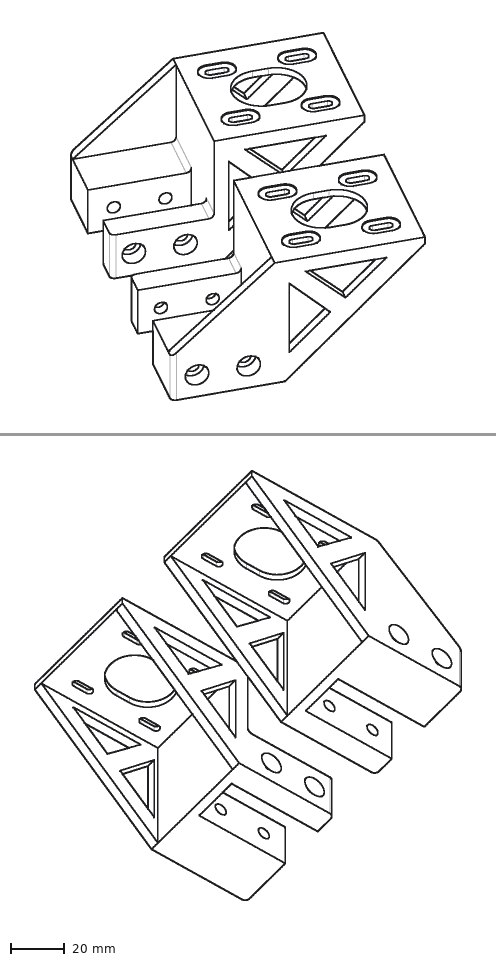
import cadquery as cq

body_width = 54.2
body_depth = 98.2
body_height = 55.25
overall_width = 134.2

wall = 4.0
plate_thickness = 3.0
front_wall_y = 40.0
cavity_front_y = front_wall_y + wall
slope_start_height = body_height - plate_thickness

block_height = 20.0
channel_width = 20.0
inner_block_width = 10.0
outer_block_width = body_width - channel_width - inner_block_width
inner_block_x = body_width - inner_block_width
edge_radius = 2.0

motor_x = body_width / 2
motor_y = (front_wall_y + body_depth) / 2
adjustment = 6.0
pilot_diameter = 22.5
screw_spacing = 31.0
screw_slot_width = 3.0
head_slot_width = 8.5
head_recess_depth = 0.5

bolt_z = 10.0
outer_bolt_y_positions = (10.0, 30.0)
inner_bolt_shift = -1.0
bolt_diameter = 5.0
bolt_head_diameter = 9.0
bolt_head_depth = 6.0

upper_window = [(83.3, 48.9), (52.0, 48.9), (67.4, 33.7)]
lower_window = [(45.7, 44.6), (61.5, 28.3), (45.7, 13.1)]


def extrude_across(points, x_start, width):
    """Prism with a (y, z) outline, running along +X from x_start."""
    return cq.Workplane("YZ", origin=(x_start, 0, 0)).polyline(points).close().extrude(width)


def cylinder_across(y, diameter, x_start, length):
    """Cylinder at bolt height, running along +X from x_start."""
    return cq.Workplane("YZ", origin=(x_start, 0, 0)).center(y, bolt_z).circle(diameter / 2).extrude(length)


def housing_shell():
    """Hollow motor housing with a sloping open underside."""
    outline = [
        (front_wall_y, 0),
        (cavity_front_y, 0),
        (body_depth, slope_start_height),
        (body_depth, body_height),
        (front_wall_y, body_height),
    ]
    cavity = cq.Workplane("XY").box(
        body_width - 2 * wall,
        body_depth,
        slope_start_height,
        centered=False,
    ).translate((wall, cavity_front_y, 0))
    return extrude_across(outline, 0, body_width).cut(cavity)


def clamp_block(x_start, width):
    """Block in front of the housing, with a concave fillet up to the front wall."""
    fillet_start = front_wall_y - edge_radius
    fillet_top = block_height + edge_radius
    return (
        cq.Workplane("YZ", origin=(x_start, 0, 0))
        .moveTo(0, 0)
        .lineTo(0, block_height)
        .lineTo(fillet_start, block_height)
        .radiusArc((front_wall_y, fillet_top), -edge_radius)
        .lineTo(front_wall_y, 0)
        .close()
        .extrude(width)
    )


def side_gusset():
    """Sloping wall that carries the outer side down to the front of its block."""
    outline = [
        (0, 0),
        (0, block_height),
        (front_wall_y, body_height),
        (front_wall_y, 0),
    ]
    return extrude_across(outline, 0, wall)


def slots(width, z_bottom, height):
    """Four adjustment slots on the motor screw pattern."""
    return (
        cq.Workplane("XY", origin=(motor_x, motor_y, z_bottom))
        .rect(screw_spacing, screw_spacing, forConstruction=True)
        .vertices()
        .slot2D(width + adjustment, width, 90)
        .extrude(height)
    )


def motor_openings():
    """Pilot opening, screw slots and shallow screw head recesses."""
    pilot = (
        cq.Workplane("XY", origin=(motor_x, motor_y, slope_start_height))
        .slot2D(pilot_diameter + adjustment, pilot_diameter, 90)
        .extrude(plate_thickness)
    )
    screw_slots = slots(screw_slot_width, slope_start_height, plate_thickness)
    head_recesses = slots(head_slot_width, body_height - head_recess_depth, head_recess_depth)
    return pilot.union(screw_slots).union(head_recesses)


def bracket():
    """Bracket with its gusset on the -X side."""
    body = (
        housing_shell()
        .union(clamp_block(0, outer_block_width))
        .union(clamp_block(inner_block_x, inner_block_width))
        .union(side_gusset())
    )
    outer_front_edges = body.faces("<Y").edges("|Z").edges("<X or >X")
    body = outer_front_edges.fillet(edge_radius)
    body = body.cut(motor_openings())
    for window in (upper_window, lower_window):
        body = body.cut(extrude_across(window, 0, body_width))
    for y in outer_bolt_y_positions:
        body = body.cut(cylinder_across(y, bolt_diameter, 0, outer_block_width))
        body = body.cut(cylinder_across(y, bolt_head_diameter, 0, bolt_head_depth))
        inner_y = y + inner_bolt_shift
        body = body.cut(cylinder_across(inner_y, bolt_diameter, inner_block_x, inner_block_width))
        inner_head_x = body_width - bolt_head_depth
        body = body.cut(cylinder_across(inner_y, bolt_head_diameter, inner_head_x, bolt_head_depth))
    return body


left_bracket = bracket().translate((-overall_width / 2, 0, 0))
right_bracket = left_bracket.mirror("YZ")

result = cq.Compound.makeCompound([left_bracket.val(), right_bracket.val()])